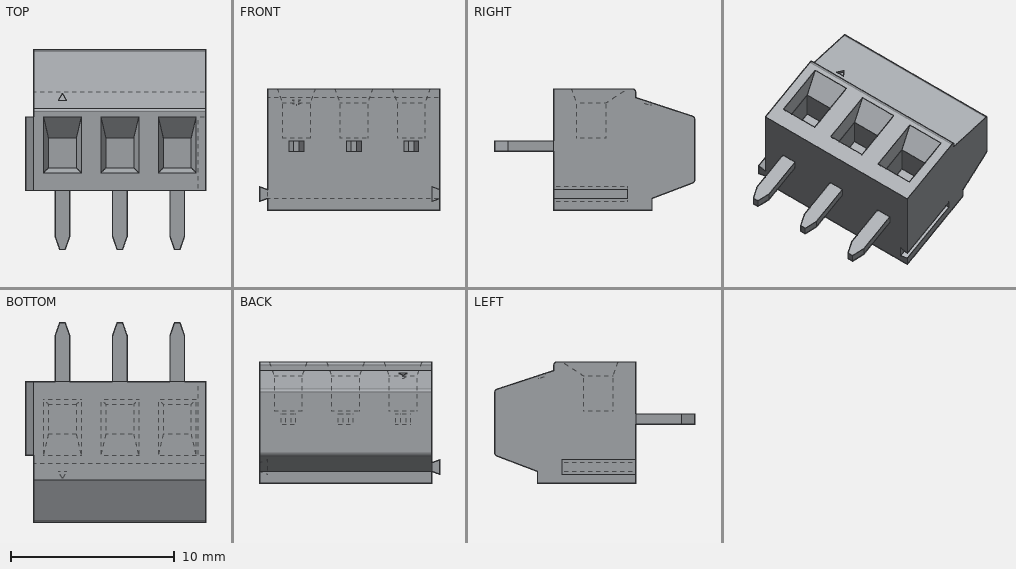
import cadquery as cq
import math


pole_count = 3
pitch = 3.5

housing_width = pole_count * pitch
housing_depth = 8.6
housing_height = 7.4
top_depth = 5.0
base_depth = 6.0
upper_step = 0.52
lower_step = 0.72
slope_inset = 1.71
edge_radius = 0.2

entry_width = 2.3
entry_front = 1.09
entry_rear = 4.5
well_width = 1.7
well_front = 1.39
well_rear = 3.2
funnel_depth = 0.85
entry_depth = 3.0

pin_width = 0.9
pin_thickness = 0.63
pin_length = 3.6
pin_tip_length = 0.8
pin_tip_width = 0.34
pin_height = 3.92

rail_length = 4.5
rail_depth = 0.5
rail_height = 0.99
rail_width = 0.9
rail_flank_angle = math.radians(20)

mark_width = 0.5
mark_length = 0.44
mark_front = 5.49
mark_recess = 0.2

pole_centres = [(i + 0.5) * pitch for i in range(pole_count)]


def make_housing():
    """Side profile extruded across all poles, with rounded rear edges."""
    upper_slope_start = (housing_depth, housing_height - slope_inset)
    lower_slope_start = (housing_depth, slope_inset)
    top_step_edge = (top_depth, housing_height)
    profile = [
        (0, 0),
        (base_depth, 0),
        (base_depth, lower_step),
        lower_slope_start,
        upper_slope_start,
        (top_depth, housing_height - upper_step),
        top_step_edge,
        (0, housing_height),
    ]
    housing = cq.Workplane("YZ").polyline(profile).close().extrude(housing_width)
    for y, z in (lower_slope_start, upper_slope_start, top_step_edge):
        sharp_edge = cq.NearestToPointSelector((housing_width / 2, y, z))
        housing = housing.edges(sharp_edge).fillet(edge_radius)
    return housing


def make_wire_entry(x):
    """Cutter for one wire entry centred at x."""
    entry_centre = (entry_front + entry_rear) / 2
    well_centre = (well_front + well_rear) / 2
    well_length = well_rear - well_front
    funnel = (
        cq.Workplane("XY", origin=(x, entry_centre, housing_height))
        .rect(entry_width, entry_rear - entry_front)
        .workplane(offset=-funnel_depth)
        .center(0, well_centre - entry_centre)
        .rect(well_width, well_length)
        .loft(ruled=True)
    )
    well = (
        cq.Workplane("XY", origin=(x, well_centre, housing_height - entry_depth))
        .rect(well_width, well_length)
        .extrude(entry_depth - funnel_depth)
    )
    return funnel.union(well)


def make_pin(x):
    """Flat pin centred at x, tapered in width towards its tip."""
    shoulder = -(pin_length - pin_tip_length)
    outline = [
        (-pin_width / 2, 0),
        (-pin_width / 2, shoulder),
        (-pin_tip_width / 2, -pin_length),
        (pin_tip_width / 2, -pin_length),
        (pin_width / 2, shoulder),
        (pin_width / 2, 0),
    ]
    return (
        cq.Workplane("XY", origin=(x, 0, pin_height - pin_thickness / 2))
        .polyline(outline)
        .close()
        .extrude(pin_thickness)
    )


def make_dovetail(root_x):
    """Dovetail bar widening from root_x towards -X."""
    outer_half = rail_width / 2
    root_half = outer_half - rail_depth * math.tan(rail_flank_angle)
    outline = [
        (0, -root_half),
        (0, root_half),
        (-rail_depth, outer_half),
        (-rail_depth, -outer_half),
    ]
    return (
        cq.Workplane("XZ", origin=(root_x, 0, rail_height))
        .polyline(outline)
        .close()
        .extrude(-rail_length)
    )


def make_mark(x, housing):
    """Upright triangular cutter at x, its floor parallel to the slope it is sunk into."""
    outline = [
        (-mark_width / 2, 0),
        (mark_width / 2, 0),
        (0, mark_length),
    ]
    prism = (
        cq.Workplane("XY", origin=(x, mark_front, 0))
        .polyline(outline)
        .close()
        .extrude(housing_height)
    )
    return prism.cut(housing.translate((0, 0, -mark_recess)))


housing = make_housing()
result = housing.cut(make_mark(pole_centres[0], housing))
for pole_x in pole_centres:
    result = result.cut(make_wire_entry(pole_x)).union(make_pin(pole_x))
result = result.union(make_dovetail(0)).cut(make_dovetail(housing_width))